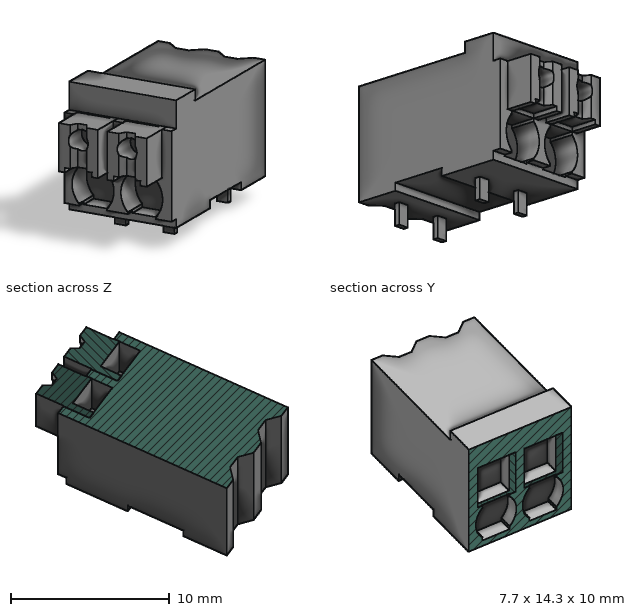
import cadquery as cq


POLE_PITCH = 3.5
POLE_CENTRES = (-POLE_PITCH / 2, POLE_PITCH / 2)

HOUSING_WIDTH = 7.7
LIP_FRONT_Y = 2.0
HEADER_FRONT_Y = 2.6
HEADER_REAR_Y = 5.09
HOUSING_REAR_Y = 14.3
LIP_BOTTOM_Z = 0.6
BODY_TOP_Z = 7.75
HEADER_TOP_Z = 8.5

NOTCH_FRONT_Y = 7.08
NOTCH_REAR_Y = 11.13
NOTCH_HEIGHT = 0.55

REAR_GROOVE_MOUTH = 2.53
REAR_GROOVE_FLOOR = 0.93
REAR_GROOVE_DEPTH = 0.69

BUTTON_WIDTH = 2.82
BUTTON_BOTTOM_Z = 3.4
BUTTON_TOP_Z = 6.62
BUTTON_HEAD_REAR_Y = 2.42
BUTTON_REAR_Y = 3.9
BUTTON_ARM_WIDTH = 0.5
BUTTON_GROOVE_MOUTH = 1.19
BUTTON_GROOVE_FLOOR = 0.63
BUTTON_GROOVE_DEPTH = 0.5
BUTTON_SLOT_WIDTH = 1.92
BUTTON_SLOT_HEIGHT = 0.31
TEST_HOLE_DIAMETER = 1.4
TEST_HOLE_Z = 5.56
TEST_HOLE_END_Y = 1.72

WIRE_HOLE_SHIFT = -0.05
WIRE_HOLE_WIDTH = 3.0
WIRE_SLOT_WIDTH = 2.0
WIRE_HOLE_FLOOR_Z = 0.5
WIRE_HOLE_CENTRE_Z = 1.96
WIRE_ARC_HALF_HEIGHT = 1.23
WIRE_HOLE_END_Y = BUTTON_REAR_Y

PIN_WIDTH = 0.8
PIN_SHIFT = 0.03
PIN_THICKNESS = 0.37
PIN_LENGTH = 1.5
PIN_ROW_SPACING = 7.0
FRONT_PIN_Y = 5.62
PIN_ROWS = (FRONT_PIN_Y, FRONT_PIN_Y + PIN_ROW_SPACING)


def block(x_centre, width, y_front, y_rear, z_bottom, z_top):
    """Box centred on x_centre and given by its Y and Z limits."""
    return (
        cq.Workplane("XY")
        .box(width, y_rear - y_front, z_top - z_bottom, centered=(True, False, False))
        .translate((x_centre, y_front, z_bottom))
    )


def tapered_groove(x_centre, mouth_y, floor_y, mouth, floor, z_bottom, z_top):
    """Vertical trapezoidal cutter, wide at the mouth and narrow at the floor."""
    return (
        cq.Workplane("XY")
        .workplane(offset=z_bottom)
        .moveTo(x_centre - mouth / 2, mouth_y)
        .lineTo(x_centre + mouth / 2, mouth_y)
        .lineTo(x_centre + floor / 2, floor_y)
        .lineTo(x_centre - floor / 2, floor_y)
        .close()
        .extrude(z_top - z_bottom)
    )


def wire_hole(pole_x):
    """Wire entry cutter: bulging sides between two straight-sided ends."""
    x = pole_x + WIRE_HOLE_SHIFT
    half_slot = WIRE_SLOT_WIDTH / 2
    half_width = WIRE_HOLE_WIDTH / 2
    arc_bottom = WIRE_HOLE_CENTRE_Z - WIRE_ARC_HALF_HEIGHT
    arc_top = WIRE_HOLE_CENTRE_Z + WIRE_ARC_HALF_HEIGHT
    return (
        cq.Workplane("XZ")
        .workplane(offset=-LIP_FRONT_Y)
        .moveTo(x - half_slot, WIRE_HOLE_FLOOR_Z)
        .lineTo(x + half_slot, WIRE_HOLE_FLOOR_Z)
        .lineTo(x + half_slot, arc_bottom)
        .threePointArc((x + half_width, WIRE_HOLE_CENTRE_Z), (x + half_slot, arc_top))
        .lineTo(x + half_slot, BUTTON_BOTTOM_Z)
        .lineTo(x - half_slot, BUTTON_BOTTOM_Z)
        .lineTo(x - half_slot, arc_top)
        .threePointArc((x - half_width, WIRE_HOLE_CENTRE_Z), (x - half_slot, arc_bottom))
        .close()
        .extrude(LIP_FRONT_Y - WIRE_HOLE_END_Y)
    )


def make_housing():
    housing = (
        cq.Workplane("YZ")
        .polyline([
            (HEADER_FRONT_Y, 0),
            (NOTCH_FRONT_Y, 0),
            (NOTCH_FRONT_Y, NOTCH_HEIGHT),
            (NOTCH_REAR_Y, NOTCH_HEIGHT),
            (NOTCH_REAR_Y, 0),
            (HOUSING_REAR_Y, 0),
            (HOUSING_REAR_Y, BODY_TOP_Z),
            (HEADER_REAR_Y, BODY_TOP_Z),
            (HEADER_REAR_Y, HEADER_TOP_Z),
            (HEADER_FRONT_Y, HEADER_TOP_Z),
            (HEADER_FRONT_Y, BUTTON_TOP_Z),
            (LIP_FRONT_Y, BUTTON_TOP_Z),
            (LIP_FRONT_Y, LIP_BOTTOM_Z),
            (HEADER_FRONT_Y, LIP_BOTTOM_Z),
        ])
        .close()
        .extrude(HOUSING_WIDTH / 2, both=True)
    )
    for pole_x in POLE_CENTRES:
        button_pocket = block(
            pole_x, BUTTON_WIDTH, LIP_FRONT_Y, BUTTON_REAR_Y, BUTTON_BOTTOM_Z, BUTTON_TOP_Z
        )
        rear_groove = tapered_groove(
            pole_x, HOUSING_REAR_Y, HOUSING_REAR_Y - REAR_GROOVE_DEPTH,
            REAR_GROOVE_MOUTH, REAR_GROOVE_FLOOR, 0, BODY_TOP_Z,
        )
        housing = housing.cut(button_pocket).cut(wire_hole(pole_x)).cut(rear_groove)
    return housing


def make_button(pole_x):
    body = block(pole_x, BUTTON_WIDTH, 0, BUTTON_REAR_Y, BUTTON_BOTTOM_Z, BUTTON_TOP_Z)
    sole_top = BUTTON_BOTTOM_Z + BUTTON_SLOT_HEIGHT
    rear_clearance = block(
        pole_x - BUTTON_ARM_WIDTH / 2, BUTTON_WIDTH - BUTTON_ARM_WIDTH,
        BUTTON_HEAD_REAR_Y, BUTTON_REAR_Y, sole_top, BUTTON_TOP_Z,
    )
    front_groove = tapered_groove(
        pole_x, 0, BUTTON_GROOVE_DEPTH,
        BUTTON_GROOVE_MOUTH, BUTTON_GROOVE_FLOOR, BUTTON_BOTTOM_Z, BUTTON_TOP_Z,
    )
    bottom_slot = block(
        pole_x, BUTTON_SLOT_WIDTH, 0, LIP_FRONT_Y, BUTTON_BOTTOM_Z, sole_top
    )
    test_hole = (
        cq.Workplane("XZ")
        .center(pole_x, TEST_HOLE_Z)
        .circle(TEST_HOLE_DIAMETER / 2)
        .extrude(-TEST_HOLE_END_Y)
    )
    return body.cut(rear_clearance).cut(front_groove).cut(bottom_slot).cut(test_hole)


def make_pin(pole_x, row_y):
    half_thickness = PIN_THICKNESS / 2
    return block(
        pole_x + PIN_SHIFT, PIN_WIDTH, row_y - half_thickness, row_y + half_thickness, -PIN_LENGTH, 0
    )


housing = make_housing()
buttons = [make_button(pole_x) for pole_x in POLE_CENTRES]
pins = [make_pin(pole_x, row_y) for pole_x in POLE_CENTRES for row_y in PIN_ROWS]

result = cq.Compound.makeCompound([
    housing.val(),
    *[button.val() for button in buttons],
    *[pin.val() for pin in pins],
])